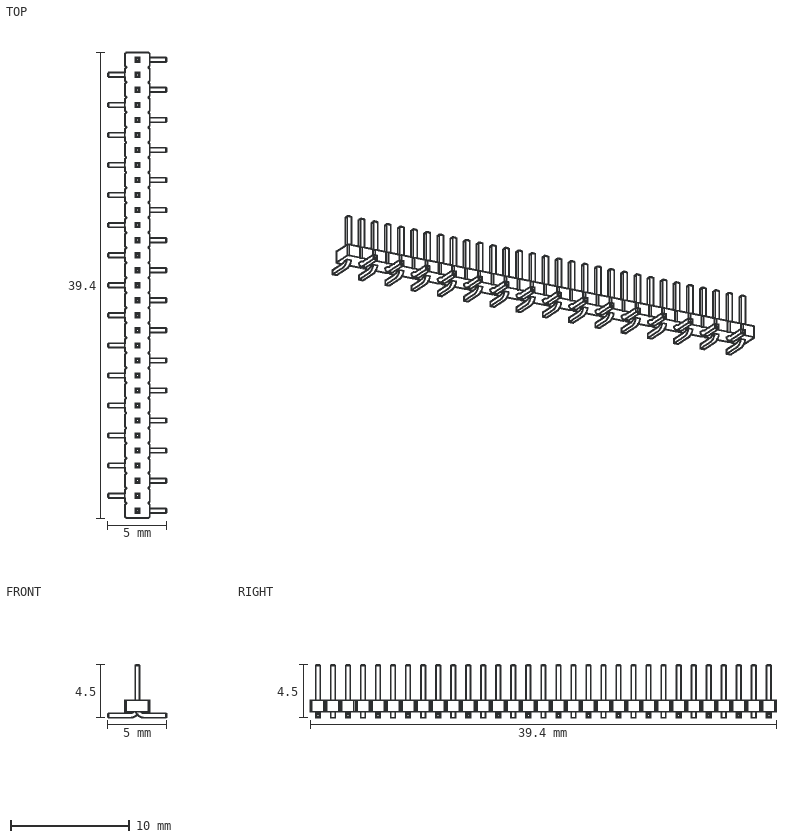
import cadquery as cq
import math

pin_count = 31
pitch = 1.27

body_width = 2.1
body_height = 1.0
body_bottom = 0.5
segment_chamfer = pitch / 10

pin_size = 0.4
pin_top = 4.5
leg_reach = 2.5
bend_inner_radius = 0.4
bend_outer_radius = bend_inner_radius + pin_size
tip_chamfer = 0.1


def pin_position(index):
    """Y coordinate of a pin, counted from the -Y end of the row."""
    return (index - (pin_count - 1) / 2) * pitch


def make_segment():
    """One insulator segment with its four upright edges chamfered."""
    return (
        cq.Workplane("XY", origin=(0, 0, body_bottom))
        .rect(body_width, pitch)
        .extrude(body_height)
        .edges("|Z")
        .chamfer(segment_chamfer)
    )


def make_pin():
    """Square pin standing up from the body, bent at the bottom into a leg toward +X."""
    half = pin_size / 2
    bend_x = half + bend_inner_radius
    bend_z = bend_outer_radius
    inner_offset = bend_inner_radius * math.cos(math.radians(45))
    outer_offset = bend_outer_radius * math.cos(math.radians(45))
    inner_mid = (bend_x - inner_offset, bend_z - inner_offset)
    outer_mid = (bend_x - outer_offset, bend_z - outer_offset)
    pin = (
        cq.Workplane("XZ")
        .moveTo(-half, pin_top)
        .lineTo(half, pin_top)
        .lineTo(half, bend_z)
        .threePointArc(inner_mid, (bend_x, pin_size))
        .lineTo(leg_reach, pin_size)
        .lineTo(leg_reach, 0)
        .lineTo(bend_x, 0)
        .threePointArc(outer_mid, (-half, bend_z))
        .close()
        .extrude(half, both=True)
    )
    return pin.faces(">Z or >X").edges().chamfer(tip_chamfer)


def make_header():
    """Row of joined segments, each holding one pin; neighbouring legs point opposite ways."""
    segment = make_segment().val()
    right_pin = make_pin().val()
    left_pin = right_pin.mirror("YZ")
    segments = []
    pins = []
    for index in range(pin_count):
        offset = cq.Vector(0, pin_position(index), 0)
        pin = right_pin if index % 2 == 0 else left_pin
        segments.append(segment.translate(offset))
        pins.append(pin.translate(offset))
    return cq.Workplane(segments[0].fuse(*segments[1:], *pins).clean())


result = make_header()